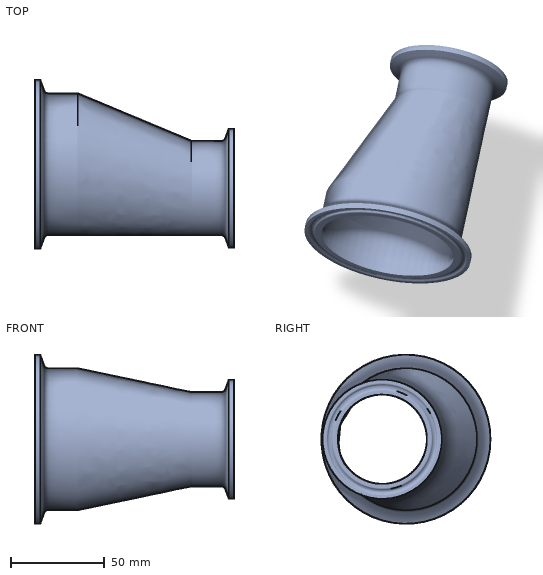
import cadquery as cq
import math

length = 107.0
straight_length = 23.0
rim_width = 2.9
neck_fillet = 2.1
flange_angle = math.radians(20)

wide_flange_radius = 91.0 / 2
wide_outer_radius = 76.3 / 2
wide_bore_radius = 72.3 / 2

narrow_flange_radius = 64.0 / 2
narrow_outer_radius = 50.8 / 2
narrow_bore_radius = 47.8 / 2

groove_edge_inset = 3.9
groove_radius = 1.3
groove_lip_fillet = 0.9

narrow_center_y = narrow_outer_radius - wide_outer_radius
taper_end = length - straight_length


def ferrule_body(flange_radius, outer_radius):
    """Solid ferrule with its sealing face at X = 0 and its tube toward +X."""
    tangent_radius = outer_radius + neck_fillet * (1 - math.sin(flange_angle))
    tangent_x = rim_width + (flange_radius - tangent_radius) * math.tan(flange_angle)
    neck_x = tangent_x + neck_fillet * math.cos(flange_angle)
    middle_angle = (math.pi / 2 + flange_angle) / 2
    middle_x = neck_x - neck_fillet * math.cos(middle_angle)
    middle_radius = outer_radius + neck_fillet * (1 - math.sin(middle_angle))

    body = (
        cq.Workplane("XY")
        .lineTo(0, flange_radius)
        .lineTo(rim_width, flange_radius)
        .lineTo(tangent_x, tangent_radius)
        .threePointArc((middle_x, middle_radius), (neck_x, outer_radius))
        .lineTo(straight_length, outer_radius)
        .lineTo(straight_length, 0)
        .close()
        .revolve(360, (0, 0, 0), (1, 0, 0))
    )
    return cut_gasket_groove(body, flange_radius - groove_edge_inset)


def cut_gasket_groove(body, center_radius):
    """Cut a round-bottomed ring groove at X = 0 and round both its lips."""
    ring = cq.Workplane(cq.Solid.makeTorus(center_radius, groove_radius, dir=cq.Vector(1, 0, 0)))
    grooved = body.cut(ring)
    lip_reach = center_radius + groove_radius + groove_lip_fillet
    lip_zone = cq.selectors.BoxSelector(
        (-groove_radius / 2, -lip_reach, -lip_reach),
        (groove_radius / 2, lip_reach, lip_reach),
        boundingbox=True,
    )
    return grooved.edges(lip_zone).fillet(groove_lip_fillet)


def taper(wide_radius, narrow_radius):
    """Eccentric cone between the two ferrules."""
    return (
        cq.Workplane("YZ", origin=(straight_length, 0, 0))
        .circle(wide_radius)
        .workplane(offset=taper_end - straight_length)
        .center(narrow_center_y, 0)
        .circle(narrow_radius)
        .loft(ruled=True)
    )


def bore(start_x, center_y, radius):
    """Straight cylinder spanning one ferrule."""
    return cq.Workplane("YZ", origin=(start_x, center_y, 0)).circle(radius).extrude(straight_length)


wide_ferrule = ferrule_body(wide_flange_radius, wide_outer_radius)
narrow_ferrule = (
    ferrule_body(narrow_flange_radius, narrow_outer_radius)
    .rotate((0, 0, 0), (0, 0, 1), 180)
    .translate((length, narrow_center_y, 0))
)

outer_body = wide_ferrule.union(taper(wide_outer_radius, narrow_outer_radius)).union(narrow_ferrule)
result = (
    outer_body
    .cut(bore(0, 0, wide_bore_radius))
    .cut(taper(wide_bore_radius, narrow_bore_radius))
    .cut(bore(taper_end, narrow_center_y, narrow_bore_radius))
)